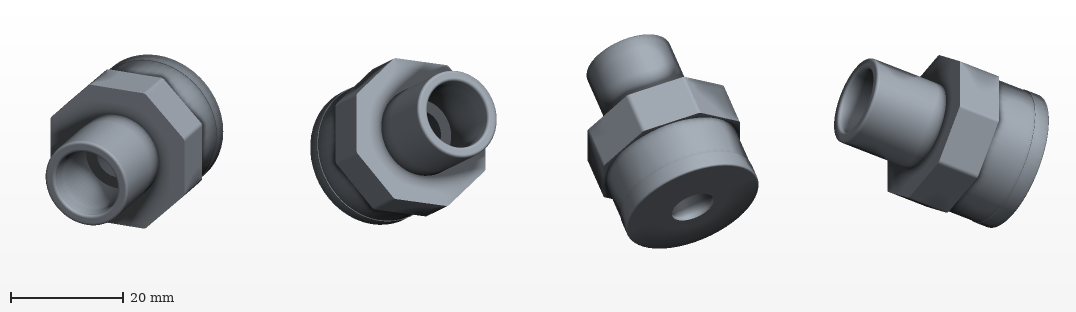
import cadquery as cq
import math

total_length = 32.65
spigot_length = 14.05
octagon_length = 8.0
collar_length = 2.95
sleeve_length = total_length - spigot_length - octagon_length - collar_length

across_flats = 26.0
octagon_edge_radius = 0.98

spigot_diameter = 16.03
sleeve_diameter = 25.05
collar_diameter = 25.3
collar_rim_radius = 0.33

through_diameter = 8.0
spigot_bore_diameter = 12.15
spigot_bore_depth = spigot_length
tip_ring_outer_diameter = 15.0
tip_ring_inner_diameter = 13.15
tip_outer_radius = (spigot_diameter - tip_ring_outer_diameter) / 2
tip_inner_radius = (tip_ring_inner_diameter - spigot_bore_diameter) / 2

tip_y = -total_length / 2
octagon_front_y = tip_y + spigot_length
sleeve_front_y = octagon_front_y + octagon_length
collar_front_y = sleeve_front_y + sleeve_length


def section_at(y):
    """Workplane across the axis at y, extruding toward +Y."""
    return cq.Workplane("XZ", origin=(0, y, 0)).transformed(rotate=(180, 0, 0))


def cylinder(y, diameter, length):
    return section_at(y).circle(diameter / 2).extrude(length)


def make_octagon():
    """Octagonal prism with flats facing X and Z and rounded edges."""
    sides = 8
    across_corners = across_flats / math.cos(math.pi / sides)
    prism = (
        section_at(octagon_front_y)
        .transformed(rotate=(0, 0, 180 / sides))
        .polygon(sides, across_corners)
        .extrude(octagon_length)
    )
    return prism.edges("|Y").fillet(octagon_edge_radius)


def make_spigot():
    """Round spigot with its outer tip edge rounded."""
    spigot = cylinder(tip_y, spigot_diameter, spigot_length)
    return spigot.faces("<Y").edges().fillet(tip_outer_radius)


def make_housing():
    """Spigot, octagon and sleeve in one piece, with a stepped bore."""
    sleeve = cylinder(sleeve_front_y, sleeve_diameter, sleeve_length)
    housing = make_spigot().union(make_octagon()).union(sleeve)
    housing = housing.cut(cylinder(tip_y, through_diameter, total_length))
    housing = housing.cut(cylinder(tip_y, spigot_bore_diameter, spigot_bore_depth))
    return housing.faces("<Y").edges(cq.selectors.RadiusNthSelector(0)).fillet(tip_inner_radius)


def make_collar():
    """Ring seated against the end of the sleeve, with a rounded outer rim."""
    collar = cylinder(collar_front_y, collar_diameter, collar_length)
    collar = collar.faces(">Y").edges().fillet(collar_rim_radius)
    return collar.cut(cylinder(collar_front_y, through_diameter, collar_length))


housing = make_housing()
collar = make_collar()

result = cq.Compound.makeCompound([housing.val(), collar.val()])